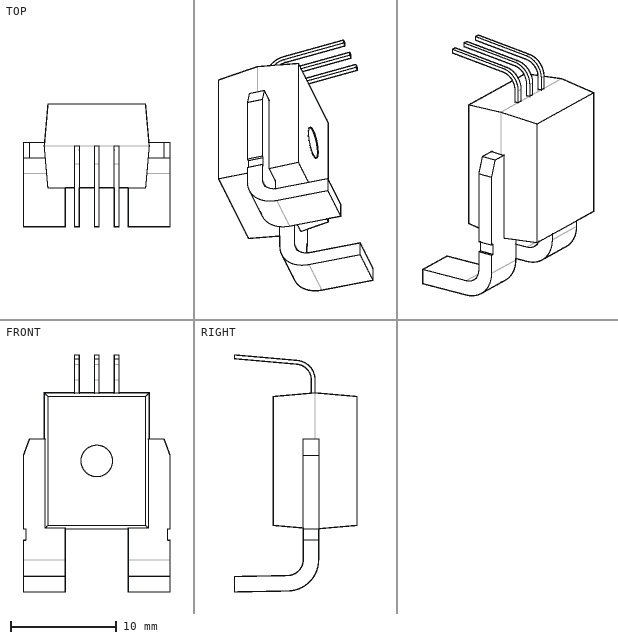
import cadquery as cq
import math


housing_width = 10.01
housing_height = 13.0
half_depth = 4.0
draft_angle = 5
housing_bottom = 6.0
housing_top = housing_bottom + housing_height
housing_mid_z = housing_bottom + housing_height / 2
mark_diameter = 3.0
mark_depth = 0.1

tip_y = -7.7

overall_width = 14.0
terminal_width = 4.0
terminal_thickness = 1.5
terminal_back_y = 0.35
terminal_top = 14.6
terminal_inner_radius = 1.5
terminal_bend_angle = 89
foot_drop_angle = 90 - terminal_bend_angle
corner_width = 0.59
corner_height = 1.58
notch_depth = 0.25
notch_height = 1.05
notch_top = housing_bottom
terminal_outer_x = overall_width / 2
terminal_inner_x = terminal_outer_x - terminal_width
terminal_outer_radius = terminal_inner_radius + terminal_thickness
foot_slope = math.tan(math.radians(foot_drop_angle))
foot_cos = math.cos(math.radians(foot_drop_angle))
foot_reach = terminal_back_y - terminal_outer_radius - tip_y
terminal_bend_z = terminal_outer_radius / foot_cos + foot_reach * foot_slope

pin_count = 3
pin_pitch = 1.9
pin_width = 0.47
pin_thickness = 0.38
pin_back_y = 0
pin_inner_radius = 1.5
pin_bend_angle = 85
pin_bend_z = 20.2
pin_seat_depth = 1.0
pin_bottom = housing_top - pin_seat_depth


def bent_strip(back_y, thickness, straight_end_z, bend_z, inner_radius, bend_angle, x_start, width):
    """Strip that runs along Z, bends toward -Y and ends in a vertical face at tip_y.

    It bends upward if its straight end lies below the bend, and downward otherwise.
    """
    up = 1 if straight_end_z < bend_z else -1
    outer_radius = inner_radius + thickness
    center_y = back_y - outer_radius

    def arc_point(radius, angle):
        a = math.radians(angle)
        return center_y + radius * math.cos(a), bend_z + up * radius * math.sin(a)

    def tip_point(radius):
        y, z = arc_point(radius, bend_angle)
        rise = up * (y - tip_y) / math.tan(math.radians(bend_angle))
        return tip_y, z + rise

    return (
        cq.Workplane("YZ", origin=(x_start, 0, 0))
        .moveTo(back_y, straight_end_z)
        .lineTo(*arc_point(outer_radius, 0))
        .threePointArc(arc_point(outer_radius, bend_angle / 2), arc_point(outer_radius, bend_angle))
        .lineTo(*tip_point(outer_radius))
        .lineTo(*tip_point(inner_radius))
        .lineTo(*arc_point(inner_radius, bend_angle))
        .threePointArc(arc_point(inner_radius, bend_angle / 2), arc_point(inner_radius, 0))
        .lineTo(back_y - thickness, straight_end_z)
        .close()
        .extrude(width)
    )


def edge_cutter(points):
    """Prism through the terminal thickness with the given outline in X and Z."""
    return (
        cq.Workplane("XZ", origin=(0, terminal_back_y, 0))
        .polyline(points)
        .close()
        .extrude(terminal_thickness)
    )


def make_right_terminal():
    strip = bent_strip(
        terminal_back_y, terminal_thickness, terminal_top, terminal_bend_z,
        terminal_inner_radius, terminal_bend_angle, terminal_inner_x, terminal_width,
    )
    top_corner = edge_cutter([
        (terminal_outer_x, terminal_top),
        (terminal_outer_x - corner_width, terminal_top),
        (terminal_outer_x, terminal_top - corner_height),
    ])
    notch = edge_cutter([
        (terminal_outer_x, notch_top),
        (terminal_outer_x - notch_depth, notch_top),
        (terminal_outer_x - notch_depth, notch_top - notch_height),
        (terminal_outer_x, notch_top - notch_height),
    ])
    return strip.cut(top_corner).cut(notch)


def make_pin(center_x):
    return bent_strip(
        pin_back_y, pin_thickness, pin_bottom, pin_bend_z,
        pin_inner_radius, pin_bend_angle, center_x - pin_width / 2, pin_width,
    )


def make_housing(inserts):
    """Block drafted both ways from the parting plane, with recesses for the inserts."""
    parting_plane = cq.Workplane("XZ", origin=(0, 0, housing_mid_z))
    front_half = parting_plane.rect(housing_width, housing_height).extrude(half_depth, taper=draft_angle)
    back_half = front_half.mirror("XZ")
    mark = (
        cq.Workplane("XZ", origin=(0, mark_depth - half_depth, housing_mid_z))
        .circle(mark_diameter / 2)
        .extrude(mark_depth)
    )
    housing = front_half.union(back_half).cut(mark)
    for insert in inserts:
        housing = housing.cut(insert)
    return housing


right_terminal = make_right_terminal()
terminals = [right_terminal, right_terminal.mirror("YZ")]
pins = [make_pin((i - (pin_count - 1) / 2) * pin_pitch) for i in range(pin_count)]
housing = make_housing(terminals + pins)

result = cq.Compound.makeCompound(
    [housing.val()]
    + [terminal.val() for terminal in terminals]
    + [pin.val() for pin in pins]
)